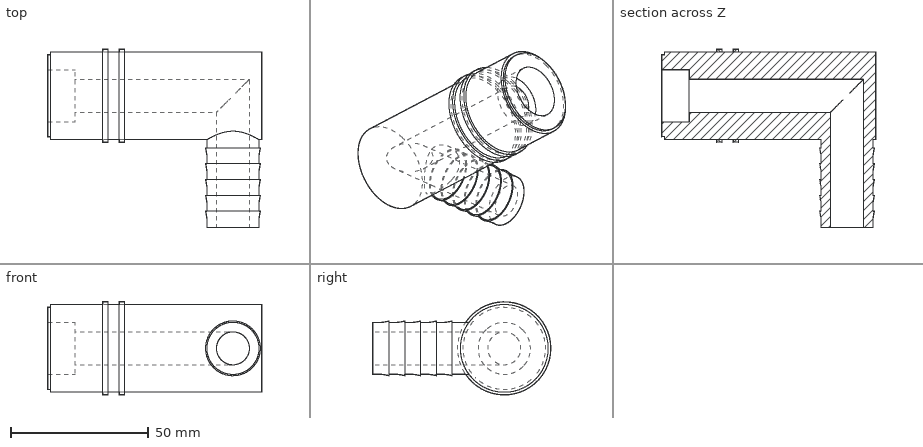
import cadquery as cq

housing_length = 78.0
housing_diameter = 32.0
lip_diameter = 30.0
lip_length = 1.0
socket_diameter = 19.0
socket_depth = 10.0

ring_diameter = 34.0
ring_width = 2.0
ring_starts = (20.0, 26.0)

tail_x = 67.5
tail_reach = 48.0
tail_diameter = 19.0
barb_diameter = 20.0
barb_count = 5
first_barb_reach = 19.0
barb_pitch = 5.75
barb_length = barb_pitch / 2

passage_diameter = 12.0


def cylinder_along_x(diameter, start, end):
    return cq.Workplane("YZ", origin=(start, 0, 0)).circle(diameter / 2).extrude(end - start)


def make_hose_tail():
    """Solid tail revolved about its own axis, each barb tapering toward the tip."""
    profile = cq.Workplane("XY", origin=(tail_x, 0, 0)).moveTo(0, 0).lineTo(tail_diameter / 2, 0)
    for index in range(barb_count):
        barb_reach = first_barb_reach + index * barb_pitch
        profile = (
            profile.lineTo(tail_diameter / 2, -barb_reach)
            .lineTo(barb_diameter / 2, -barb_reach)
            .lineTo(tail_diameter / 2, -barb_reach - barb_length)
        )
    profile = profile.lineTo(tail_diameter / 2, -tail_reach).lineTo(0, -tail_reach).close()
    return profile.revolve(360, (0, 0, 0), (0, 1, 0))


def make_passage():
    """Right-angle bore with a mitred corner where the barrel and tail axes cross."""
    path = cq.Workplane("XY").moveTo(socket_depth, 0).lineTo(tail_x, 0).lineTo(tail_x, -tail_reach)
    section = cq.Workplane("YZ", origin=(socket_depth, 0, 0)).circle(passage_diameter / 2)
    return section.sweep(path, transition="right")


def make_housing():
    lip = cylinder_along_x(lip_diameter, 0, lip_length)
    barrel = cylinder_along_x(housing_diameter, lip_length, housing_length)
    socket = cylinder_along_x(socket_diameter, 0, socket_depth)
    return barrel.union(lip).union(make_hose_tail()).cut(socket).cut(make_passage())


def make_seal_ring(start):
    """Flat band seated on the outside of the barrel."""
    band = cq.Workplane("YZ", origin=(start, 0, 0)).circle(ring_diameter / 2).circle(housing_diameter / 2)
    return band.extrude(ring_width)


housing = make_housing()
seal_rings = [make_seal_ring(start) for start in ring_starts]

result = cq.Compound.makeCompound([housing.val(), *[ring.val() for ring in seal_rings]])